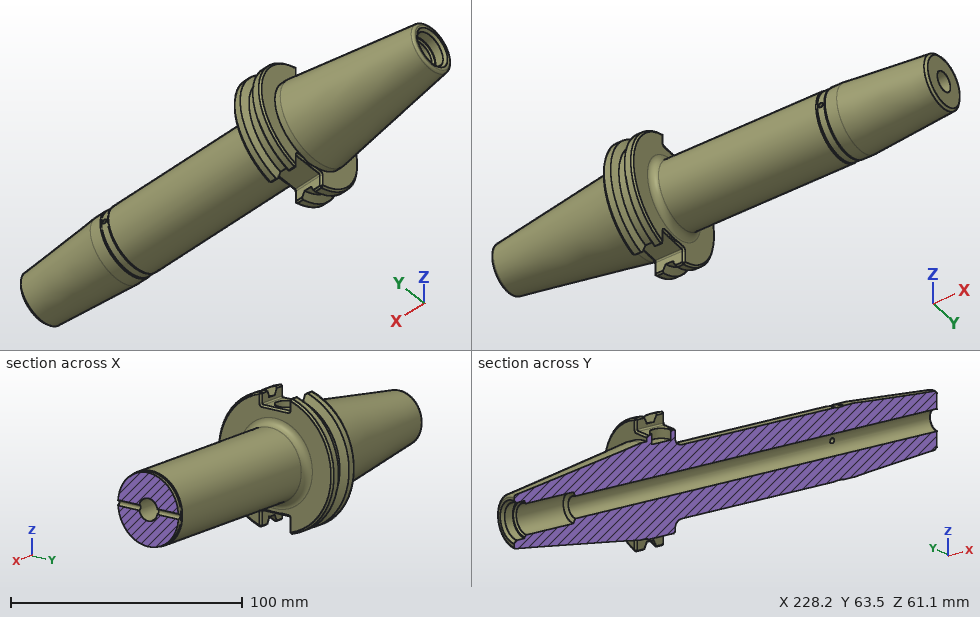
import cadquery as cq
import math

total_length = 228.2

gauge_x = 68.5
gauge_radius = 44.5 / 2
taper_ratio = 7 / 24
shank_end_radius = gauge_radius - gauge_x * taper_ratio / 2
shank_end_rounding = 1.4

flange_start_x = 71.5
flange_end_x = 87.2
flange_radius = 63.5 / 2
flange_chamfer = 1.0
v_center_x = 79.5
v_depth = 3.7
v_floor_half_width = 1.8
v_mouth_half_width = 3.7

slot_width = 15.5
slot_corner_radius = 0.7
upper_floor_z = 24.9
lower_floor_z = -22.8
chip_hole_diameter = 10.0
chip_hole_depth = 4.5

body_radius = 34.0 / 2
neck_fillet = 3.5
nose_start_x = 183.7
nose_end_radius = 13.5
nose_end_chamfer = 1.1

ring_start_x = 173.0
ring_end_x = 177.8
ring_depth = 0.2
ring_wall_run = 0.7
ring_hole_count = 2
ring_hole_diameter = 2.3

bore_radius = 5.0
pilot_radius = 8.5
pilot_chamfer = 1.4
pilot_depth = 5.7
thread_radius = 7.0
thread_chamfer = 1.0
thread_depth = 32.0
thread_cone_length = 1.1


def revolve_about_x(points):
    """Solid of revolution about X from (x, radius) points."""
    return cq.Workplane("XY").polyline(points).close().revolve(360, (0, 0, 0), (1, 0, 0))


def make_shank():
    shank = revolve_about_x([
        (0, 0),
        (0, shank_end_radius),
        (gauge_x, gauge_radius),
        (flange_end_x, gauge_radius),
        (flange_end_x, 0),
    ])
    return shank.faces("<X").edges().fillet(shank_end_rounding)


def make_slot_cutter(floor_z):
    """Block that cuts one drive slot outward from its floor, through the flange along X."""
    direction = math.copysign(1, floor_z)
    height = 2 * (flange_radius - abs(floor_z))
    length = flange_end_x - flange_start_x
    center = ((flange_start_x + flange_end_x) / 2, 0, floor_z + direction * height / 2)
    block = cq.Workplane("XY").box(length, slot_width, height).edges("|X").fillet(slot_corner_radius)
    return block.translate(center)


def make_flange():
    length = flange_end_x - flange_start_x
    disc = cq.Workplane("YZ", origin=(flange_start_x, 0, 0)).circle(flange_radius).extrude(length)
    for floor_z in (upper_floor_z, lower_floor_z):
        disc = disc.cut(make_slot_cutter(floor_z))

    rim_corner_z = math.sqrt(flange_radius ** 2 - (slot_width / 2) ** 2)
    rim_edges = disc.edges("|X").filter(lambda edge: abs(edge.Center().z) > rim_corner_z - slot_corner_radius)
    disc = disc.faces("<X or >X").edges().add(rim_edges).chamfer(flange_chamfer)

    groove = revolve_about_x([
        (v_center_x - v_mouth_half_width, flange_radius),
        (v_center_x - v_floor_half_width, flange_radius - v_depth),
        (v_center_x + v_floor_half_width, flange_radius - v_depth),
        (v_center_x + v_mouth_half_width, flange_radius),
    ])
    return disc.cut(groove)


def make_body():
    neck_end_x = flange_end_x + neck_fillet
    ring_floor_radius = body_radius - ring_depth
    arc_offset = neck_fillet * (1 - math.sqrt(0.5))
    profile = (
        cq.Workplane("XY")
        .moveTo(v_center_x, 0)
        .lineTo(v_center_x, body_radius + neck_fillet)
        .lineTo(flange_end_x, body_radius + neck_fillet)
        .threePointArc((flange_end_x + arc_offset, body_radius + arc_offset), (neck_end_x, body_radius))
        .lineTo(ring_start_x, body_radius)
        .lineTo(ring_start_x + ring_wall_run, ring_floor_radius)
        .lineTo(ring_end_x - ring_wall_run, ring_floor_radius)
        .lineTo(ring_end_x, body_radius)
        .lineTo(nose_start_x, body_radius)
        .lineTo(total_length, nose_end_radius)
        .lineTo(total_length, 0)
        .close()
    )
    body = profile.revolve(360, (0, 0, 0), (1, 0, 0))
    return body.faces(">X").edges().chamfer(nose_end_chamfer)


def make_bore():
    thread_start_x = pilot_depth + thread_chamfer
    return revolve_about_x([
        (0, 0),
        (0, pilot_radius + pilot_chamfer),
        (pilot_chamfer, pilot_radius),
        (pilot_depth, pilot_radius),
        (pilot_depth, thread_radius + thread_chamfer),
        (thread_start_x, thread_radius),
        (thread_depth, thread_radius),
        (thread_depth + thread_cone_length, bore_radius),
        (total_length, bore_radius),
        (total_length, 0),
    ])


def make_chip_hole():
    bottom = cq.Workplane("XY", origin=(v_center_x, 0, upper_floor_z - chip_hole_depth))
    return bottom.circle(chip_hole_diameter / 2).extrude(flange_radius)


def make_ring_hole(angle):
    """Radial hole from the ring groove into the bore; angle 0 points along -Y."""
    center_x = (ring_start_x + ring_end_x) / 2
    hole = cq.Workplane("XZ", origin=(center_x, 0, 0)).circle(ring_hole_diameter / 2).extrude(flange_radius)
    return hole.rotate((0, 0, 0), (1, 0, 0), angle)


result = make_shank().union(make_flange()).union(make_body())
result = result.cut(make_bore()).cut(make_chip_hole())
for index in range(ring_hole_count):
    result = result.cut(make_ring_hole(index * 360 / ring_hole_count))